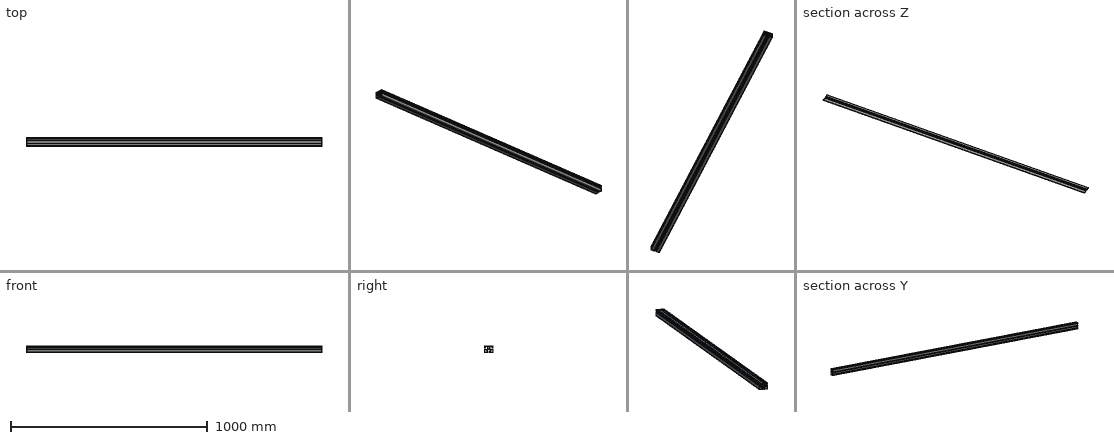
import cadquery as cq

LENGTH = 1500.0
WIDTH = 45.0
HEIGHT = 32.0
CORNER_RADIUS = 2.5

SIDE_SLOT_Z = 6.25
SLOT_OPENING = 7.5
SLOT_INNER_WIDTH = 14.0
SLOT_DEPTH = 15.0
SLOT_FLOOR_CHAMFER = 1.5
LIP_THICKNESS = 5.0
LIP_RADIUS = 1.0

CORE_WIDTH = 9.0
CORE_RADIUS = 0.5
CORE_WALL = 2.5
CORE_TOP_Z = HEIGHT / 2 - CORE_WALL
CORE_BOTTOM_Z = SLOT_DEPTH - HEIGHT / 2 + CORE_WALL

CHAMBER_WALL = 1.5
CHAMBER_SLOT_WALL = 2.0
CHAMBER_RADIUS = 0.8
CHAMBER_TOP_Z = SIDE_SLOT_Z - SLOT_INNER_WIDTH / 2 - CHAMBER_SLOT_WALL
CHAMBER_INNER_Y = SLOT_INNER_WIDTH / 2 + CHAMBER_SLOT_WALL


def t_slot():
    """Full-length T-slot cutter that opens upward, with its mouth at Z = 0 and centred on Y = 0."""
    half_opening = SLOT_OPENING / 2
    half_mouth = half_opening + LIP_RADIUS
    half_inner = SLOT_INNER_WIDTH / 2
    half_floor = half_inner - SLOT_FLOOR_CHAMFER
    chamfer_top = SLOT_FLOOR_CHAMFER - SLOT_DEPTH
    return (
        cq.Workplane("YZ", origin=(-LENGTH / 2, 0, 0))
        .moveTo(-half_mouth, 0)
        .radiusArc((-half_opening, -LIP_RADIUS), LIP_RADIUS)
        .lineTo(-half_opening, -LIP_THICKNESS)
        .lineTo(-half_inner, -LIP_THICKNESS)
        .lineTo(-half_inner, chamfer_top)
        .lineTo(-half_floor, -SLOT_DEPTH)
        .lineTo(half_floor, -SLOT_DEPTH)
        .lineTo(half_inner, chamfer_top)
        .lineTo(half_inner, -LIP_THICKNESS)
        .lineTo(half_opening, -LIP_THICKNESS)
        .lineTo(half_opening, -LIP_RADIUS)
        .radiusArc((half_mouth, 0), LIP_RADIUS)
        .close()
        .extrude(LENGTH)
    )


def turned_about_x(body, angle):
    """Copy of the body turned about the X axis by an angle in degrees."""
    return body.rotate((0, 0, 0), (1, 0, 0), angle)


def side_slot():
    """T-slot cutter in the +Y side."""
    return turned_about_x(t_slot(), -90).translate((0, WIDTH / 2, SIDE_SLOT_Z))


def base_slot():
    """T-slot cutter in the middle of the base."""
    return turned_about_x(t_slot(), 180).translate((0, 0, -HEIGHT / 2))


def closed_chamber(y_min, y_max, z_min, z_max, corner_radius):
    """Full-length rectangular cutter with rounded corners between the given Y and Z limits."""
    center = (0, (y_min + y_max) / 2, (z_min + z_max) / 2)
    block = cq.Workplane("XY").box(LENGTH, y_max - y_min, z_max - z_min)
    return block.edges("|X").fillet(corner_radius).translate(center)


def corner_chamber():
    """Closed chamber in the lower +Y corner, between the side slot and the base slot."""
    outer_y = WIDTH / 2 - CHAMBER_WALL
    bottom_z = -HEIGHT / 2 + CHAMBER_WALL
    return closed_chamber(CHAMBER_INNER_Y, outer_y, bottom_z, CHAMBER_TOP_Z, CHAMBER_RADIUS)


def core_chamber():
    """Closed chamber in the middle of the core."""
    return closed_chamber(-CORE_WIDTH / 2, CORE_WIDTH / 2, CORE_BOTTOM_Z, CORE_TOP_Z, CORE_RADIUS)


result = cq.Workplane("XY").box(LENGTH, WIDTH, HEIGHT).edges("|X").fillet(CORNER_RADIUS)

for paired_cutter in (side_slot(), corner_chamber()):
    result = result.cut(paired_cutter).cut(paired_cutter.mirror("XZ"))

result = result.cut(base_slot()).cut(core_chamber())